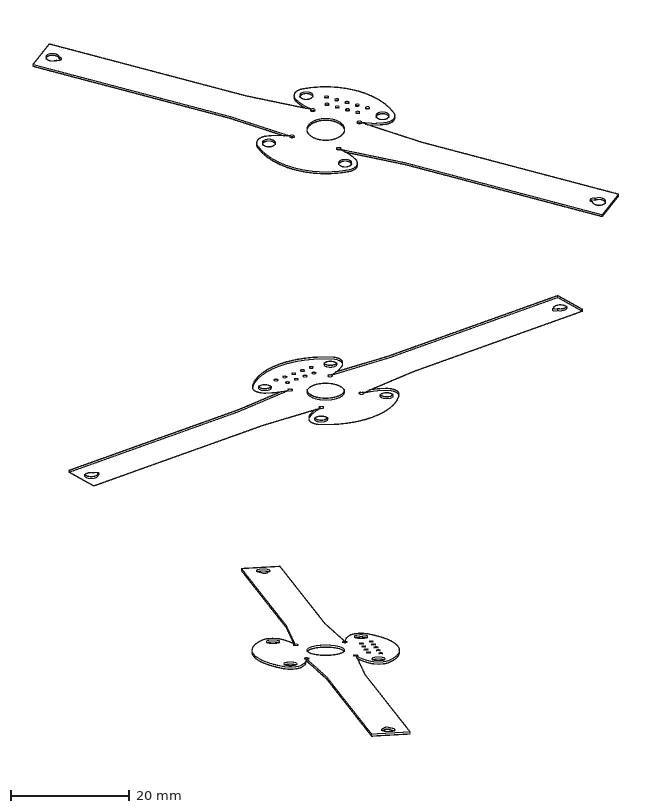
import cadquery as cq
import math

length = 105.7
depth = 24.9
thickness = 0.39

arm_width = 6.7
arm_half_width = arm_width / 2
flare_start_x = 16.3
flare_root_half_width = 4.3

bore_diameter = 6.3
relief_diameter = 0.76
relief_x = 4.3
relief_y = 4.2

lobe_radius = depth / 2
mount_diameter = 2.2
mount_x = 7.1
mount_y = 7.6
ear_radius = lobe_radius - math.hypot(mount_x, mount_y)

under_center_x = 3.3
under_center_y = 12.6
under_radius = math.hypot(mount_x - under_center_x, under_center_y - mount_y) + ear_radius

pin_diameter = 0.6
pin_pitch = 1.9
outer_row_y = 8.7
outer_row_count = 5
inner_row_y = outer_row_y - pin_pitch
inner_row_count = outer_row_count - 1

keyhole_diameter = 2.2
keyhole_x = 50.7
keyhole_slot_width = 1.1
keyhole_slot_end_x = 49.1


def polar(center_x, center_y, radius, angle):
    """Point on a circle, with the angle in radians."""
    return (center_x + radius * math.cos(angle), center_y + radius * math.sin(angle))


def mirrored(point):
    """Point reflected across the YZ plane."""
    return (-point[0], point[1])


def arms():
    """Both arms as one strip, widening in straight flares to the slit roots."""
    upper_edge = [
        (-length / 2, arm_half_width),
        (-flare_start_x, arm_half_width),
        (-relief_x, flare_root_half_width),
        (relief_x, flare_root_half_width),
        (flare_start_x, arm_half_width),
        (length / 2, arm_half_width),
    ]
    lower_edge = [(x, -y) for x, y in reversed(upper_edge)]
    return cq.Workplane("XY").polyline(upper_edge + lower_edge).close().extrude(thickness)


def lobe():
    """The +Y lobe, running down to the X axis between the relief holes."""
    outer_tangent_angle = math.atan2(mount_y, mount_x)
    under_tangent_angle = math.atan2(mount_y - under_center_y, mount_x - under_center_x)
    ear_mid_angle = (outer_tangent_angle + under_tangent_angle) / 2
    root_angle = -math.acos((relief_x - under_center_x) / under_radius)
    under_mid_angle = (under_tangent_angle + root_angle) / 2

    root = polar(under_center_x, under_center_y, under_radius, root_angle)
    under_mid = polar(under_center_x, under_center_y, under_radius, under_mid_angle)
    ear_start = polar(mount_x, mount_y, ear_radius, under_tangent_angle)
    ear_mid = polar(mount_x, mount_y, ear_radius, ear_mid_angle)
    ear_end = polar(mount_x, mount_y, ear_radius, outer_tangent_angle)
    return (
        cq.Workplane("XY")
        .moveTo(relief_x, 0)
        .lineTo(*root)
        .threePointArc(under_mid, ear_start)
        .threePointArc(ear_mid, ear_end)
        .threePointArc((0, lobe_radius), mirrored(ear_end))
        .threePointArc(mirrored(ear_mid), mirrored(ear_start))
        .threePointArc(mirrored(under_mid), mirrored(root))
        .lineTo(-relief_x, 0)
        .close()
        .extrude(thickness)
    )


def holes(points, diameter):
    """Cutters for round through holes."""
    return cq.Workplane("XY").pushPoints(points).circle(diameter / 2).extrude(thickness)


def four_corners(x, y):
    """Points in all four quadrants."""
    return [(sx * x, sy * y) for sx in (-1, 1) for sy in (-1, 1)]


def pin_row(count, y):
    """Points of a pin row centred on the Y axis."""
    return [((i - (count - 1) / 2) * pin_pitch, y) for i in range(count)]


def keyhole(side):
    """Keyhole cutter for the arm on the given side (-1 or 1)."""
    slot_round_x = keyhole_slot_end_x + keyhole_slot_width / 2
    slot_length = keyhole_x - slot_round_x
    slot = (
        cq.Workplane("XY")
        .center(side * (keyhole_x + slot_round_x) / 2, 0)
        .slot2D(slot_length + keyhole_slot_width, keyhole_slot_width)
        .extrude(thickness)
    )
    return holes([(side * keyhole_x, 0)], keyhole_diameter).union(slot)


upper_lobe = lobe()
plate = arms().union(upper_lobe).union(upper_lobe.mirror("XZ"))

plate = plate.cut(holes([(0, 0)], bore_diameter))
plate = plate.cut(holes(four_corners(relief_x, relief_y), relief_diameter))
plate = plate.cut(holes(four_corners(mount_x, mount_y), mount_diameter))

pins = pin_row(outer_row_count, outer_row_y) + pin_row(inner_row_count, inner_row_y)
plate = plate.cut(holes(pins, pin_diameter))

for side in (-1, 1):
    plate = plate.cut(keyhole(side))

result = plate